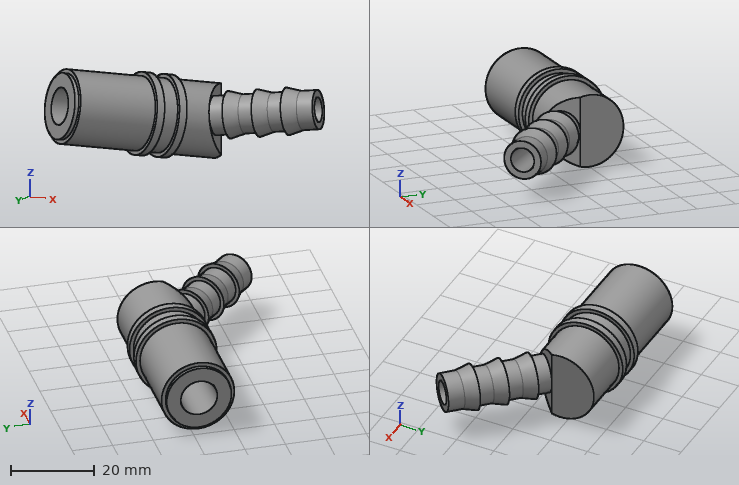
import cadquery as cq
import math

total_length = 60.4
bend_angle = 45.0
barrel_diameter = 18.0
nose_diameter = 16.0
nose_length = 1.0
barb_diameter = 9.5
barb_ridge_diameter = 11.5
bore_diameter = 6.0
entry_bore_diameter = 9.0
entry_bore_depth = 20.0

branch_length = 33.9
first_ridge_offset = 3.6
ridge_length = 3.6
ridge_pitch = 7.3
ridge_count = 3

ring_diameter = 20.0
ring_width = 2.0
first_ring_start = 21.0
ring_pitch = 6.0
ring_count = 2

barrel_radius = barrel_diameter / 2
barb_radius = barb_diameter / 2
ridge_radius = barb_ridge_diameter / 2
bend_cos = math.cos(math.radians(bend_angle))
bend_sin = math.sin(math.radians(bend_angle))
bend_x = total_length - branch_length * bend_cos - barb_radius * bend_sin
barrel_end = bend_x + barrel_radius
face_offset = barrel_radius * (bend_cos + bend_sin) - barb_radius

barb_direction = cq.Vector(bend_cos, -bend_sin, 0)
bend_point = cq.Vector(bend_x, 0, 0)
barb_base = bend_point + barb_direction * face_offset
barb_tip = bend_point + barb_direction * branch_length


def x_cylinder(diameter, start, end):
    """Cylinder on the X axis between two X positions."""
    return cq.Workplane("YZ", origin=(start, 0, 0)).circle(diameter / 2).extrude(end - start)


def make_barrel():
    """Stepped barrel whose far lower corner is cut off square to the barb axis."""
    barrel = x_cylinder(nose_diameter, 0, nose_length)
    barrel = barrel.union(x_cylinder(barrel_diameter, nose_length, barrel_end))
    face_plane = cq.Plane(origin=barb_base, normal=barb_direction)
    corner = cq.Workplane(face_plane).circle(barrel_diameter).extrude(barrel_diameter)
    return barrel.cut(corner)


def make_barb():
    """Hose barb: a plain stem with cones that narrow towards the tip."""
    stem_length = branch_length - face_offset
    profile = cq.Workplane("XY").lineTo(0, barb_radius)
    for i in range(ridge_count):
        ridge_start = first_ridge_offset + i * ridge_pitch
        profile = (
            profile.lineTo(ridge_start, barb_radius)
            .lineTo(ridge_start, ridge_radius)
            .lineTo(ridge_start + ridge_length, barb_radius)
        )
    profile = profile.lineTo(stem_length, barb_radius).lineTo(stem_length, 0).close()
    barb = profile.revolve(360, (0, 0, 0), (1, 0, 0))
    return barb.rotate((0, 0, 0), (0, 0, 1), -bend_angle).translate(barb_base)


def make_passage():
    """Bore that follows the barrel and barb axes, mitred at the bend, with a wider entry."""
    path = cq.Workplane("XY").polyline([(0, 0), (bend_x, 0), (barb_tip.x, barb_tip.y)])
    bore = cq.Workplane("YZ").circle(bore_diameter / 2).sweep(path, transition="right")
    return bore.union(x_cylinder(entry_bore_diameter, 0, entry_bore_depth))


def make_housing():
    """Barrel and hose barb in one piece, with the passage through both."""
    return make_barrel().union(make_barb()).cut(make_passage())


def make_ring(start):
    """Sealing ring fitted around the barrel."""
    end = start + ring_width
    return x_cylinder(ring_diameter, start, end).cut(x_cylinder(barrel_diameter, start, end))


housing = make_housing()
rings = [make_ring(first_ring_start + i * ring_pitch) for i in range(ring_count)]

result = cq.Compound.makeCompound([housing.solids().val(), *[ring.solids().val() for ring in rings]])